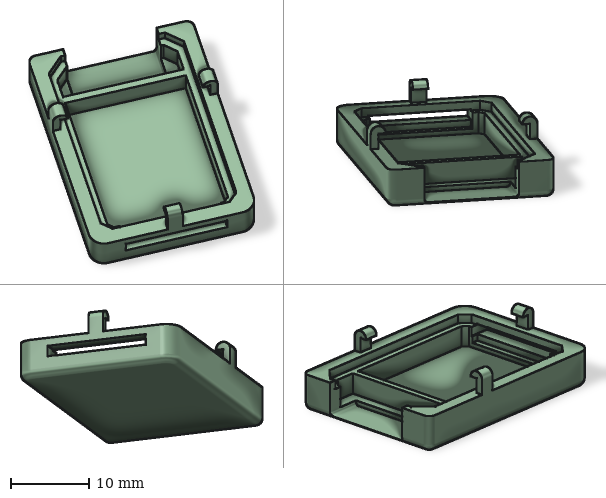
import cadquery as cq

length = 30.9
width = 21.87
total_height = 8.0
body_height = 5.0
front_corner_radius = 1.05
back_corner_radius = 2.0
bottom_radius = 1.0

front_wall = 1.02
back_wall = 2.05
side_wall = 1.95
ledge = 1.0
ledge_depth = 1.2
floor_thickness = 1.0
front_pocket_length = 4.4
divider = 1.0
upper_back_chamfer = 1.25
upper_left_chamfer = 1.98
upper_right_chamfer = 2.2
lower_back_chamfer = 0.68
lower_left_chamfer = 1.45
lower_right_chamfer = 1.67

notch_width = 12.4
notch_length = 4.97
notch_floor = 0.35
notch_radius = 0.5

slot_width = 13.47
slot_offset = 0.15
slot_bottom = 2.53
slot_height = 1.4
seat_bottom = 1.65
seat_step = 0.12

hook_width = 2.0
hook_radius = 1.0
arm_thickness = 1.0
side_hook_start = 10.0

front_x = -length / 2
back_x = length / 2
ledge_z = body_height - ledge_depth
upper_x_min = front_x + front_wall
upper_x_max = back_x - back_wall
upper_half_width = width / 2 - side_wall
front_pocket_x_min = upper_x_min + ledge
front_pocket_x_max = front_pocket_x_min + front_pocket_length
main_pocket_x_min = front_pocket_x_max + divider
main_pocket_x_max = upper_x_max - ledge
lower_half_width = upper_half_width - ledge


def block(x_min, x_max, y_min, y_max, z_min, z_max):
    size = (x_max - x_min, y_max - y_min, z_max - z_min)
    return cq.Workplane("XY").box(*size, centered=False).translate((x_min, y_min, z_min))


def body():
    tray = block(front_x, back_x, -width / 2, width / 2, 0, body_height)
    tray = tray.edges("|Z and <X").fillet(front_corner_radius)
    tray = tray.edges("|Z and >X").fillet(back_corner_radius)
    return tray.faces("<Z").edges().fillet(bottom_radius)


def upper_opening():
    opening = block(upper_x_min, upper_x_max, -upper_half_width, upper_half_width, ledge_z, body_height)
    opening = opening.edges("|Z and >X").chamfer(upper_back_chamfer)
    opening = opening.edges("|Z and <X and >Y").chamfer(upper_left_chamfer)
    return opening.edges("|Z and <X and <Y").chamfer(upper_right_chamfer)


def front_pocket():
    pocket = block(
        front_pocket_x_min, front_pocket_x_max, -lower_half_width, lower_half_width, floor_thickness, ledge_z
    )
    pocket = pocket.edges("|Z and <X and >Y").chamfer(lower_left_chamfer)
    return pocket.edges("|Z and <X and <Y").chamfer(lower_right_chamfer)


def main_pocket():
    pocket = block(
        main_pocket_x_min, main_pocket_x_max, -lower_half_width, lower_half_width, floor_thickness, ledge_z
    )
    return pocket.edges("|Z and >X").chamfer(lower_back_chamfer)


def front_notch():
    notch = block(
        front_x, front_x + notch_length, -notch_width / 2, notch_width / 2, notch_floor, body_height
    )
    return notch.edges("|X and <Z").fillet(notch_radius)


def back_slot():
    y_min = slot_offset - slot_width / 2
    y_max = slot_offset + slot_width / 2
    ledge_cut = block(main_pocket_x_max, upper_x_max, y_min, y_max, slot_bottom, ledge_z)
    slot = block(upper_x_max, back_x, y_min, y_max, slot_bottom, slot_bottom + slot_height)
    seat = block(main_pocket_x_max, upper_x_max, y_min, y_max - seat_step, seat_bottom, slot_bottom)
    return slot.union(ledge_cut).union(seat)


def hook():
    """Hook centred on Y = 0, its outer face at X = 0 and its lip reaching towards -X."""
    lip_z = total_height - hook_radius
    return (
        cq.Workplane("XZ")
        .moveTo(0, body_height)
        .lineTo(0, lip_z)
        .threePointArc((-hook_radius, total_height), (-2 * hook_radius, lip_z))
        .lineTo(-arm_thickness, lip_z)
        .lineTo(-arm_thickness, body_height)
        .close()
        .extrude(hook_width / 2, both=True)
    )


def placed_hook(angle, x, y):
    return hook().rotate((0, 0, 0), (0, 0, 1), angle).translate((x, y, 0))


result = body()
for cavity in (upper_opening(), front_pocket(), main_pocket(), front_notch(), back_slot()):
    result = result.cut(cavity)

side_hook_x = front_x + side_hook_start + hook_width / 2
result = result.union(placed_hook(0, back_x, 0))
result = result.union(placed_hook(90, side_hook_x, width / 2))
result = result.union(placed_hook(-90, side_hook_x, -width / 2))